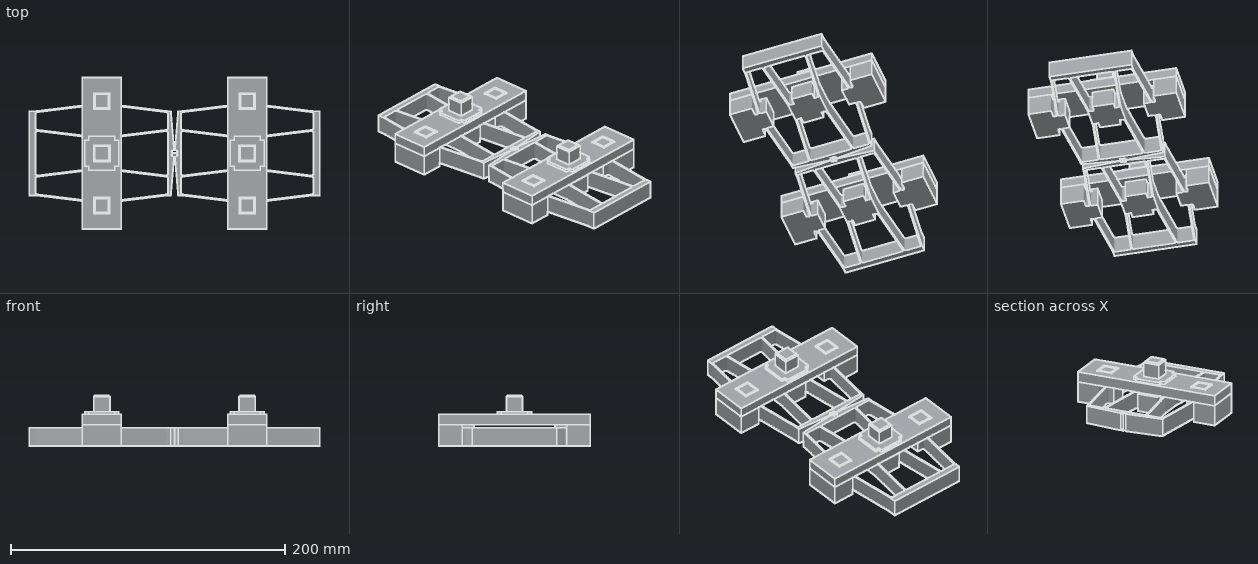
import cadquery as cq
import math

overall_length = 211.83
overall_height = 37.0

cover_width = 28.6
cover_length = 110.7
cover_bottom = 15.5
cover_top = 23.3

knob_side = 12.0
flange_span = 25.0
flange_notch = 3.0
flange_corner_radius = 0.3
flange_height = 1.9
top_chamfer = 1.0

peg_side = 11.8
peg_offset = 38.0

flexure_height = 13.5
module_offset = 53.0
truss_inner_face = 48.2
truss_half_length = 30.8
truss_gap_angle = 4.8

anchor_inner_face = 38.2
arm_half_width = 7.4
arm_inner_face = 29.4
block_edge_radius = 0.5

shuttle_core_half_width = 12.3
shuttle_core_half_length = 7.9

beam_thickness = 0.9
beam_angle = 7.0
inner_beam_at_truss = 16.8
root_fillet = 1.3
flush_root_length = 1.9

hinge_slot_length = 4.2
hinge_slot_width = 1.7
hinge_web = 0.8

truss_outer_face = overall_length / 2 - module_offset
beam_slope = math.tan(math.radians(beam_angle))

flush_root_rise = flush_root_length * math.tan(math.radians(beam_angle / 2))
flush_root_drop = flush_root_length * beam_slope - flush_root_rise
beam_rise = (truss_inner_face - arm_half_width) * beam_slope
outer_beam_at_truss = truss_half_length - flush_root_drop - beam_thickness / 2
outer_beam_at_anchor = outer_beam_at_truss + beam_rise
inner_beam_at_shuttle = inner_beam_at_truss - beam_rise
shuttle_bar_half_length = inner_beam_at_shuttle + beam_thickness / 2 + flush_root_drop

SIDES = (-1, 1)


def box(x_min, x_max, y_min, y_max, z_min, z_max):
    size = (x_max - x_min, y_max - y_min, z_max - z_min)
    return cq.Workplane("XY").box(*size, centered=False).translate((x_min, y_min, z_min))


def chamfered_post(side, y, z_min, z_max):
    """Square post with its top edges chamfered."""
    post = cq.Workplane("XY").box(side, side, z_max - z_min, centered=(True, True, False))
    return post.faces(">Z").chamfer(top_chamfer).translate((0, y, z_min))


def pegs():
    lower, upper = (chamfered_post(peg_side, side * peg_offset, cover_bottom, cover_top) for side in SIDES)
    return lower.union(upper)


def flange_bar(x_size, y_size, tips):
    """One of the two crossing bars of the flange, with rounded corners at its tips."""
    bar = cq.Workplane("XY").box(x_size, y_size, flange_height, centered=(True, True, False))
    return bar.faces(tips).edges("|Z").fillet(flange_corner_radius).translate((0, 0, cover_top))


def make_cover(x):
    half_width = cover_width / 2
    half_length = cover_length / 2
    plate = box(-half_width, half_width, -half_length, half_length, cover_bottom, cover_top)
    for side in SIDES:
        hole_middle = side * peg_offset
        hole_edges = (hole_middle - peg_side / 2, hole_middle + peg_side / 2)
        plate = plate.cut(box(-peg_side / 2, peg_side / 2, *hole_edges, cover_bottom, cover_top))

    knob_base = cover_top + flange_height
    arm_width = flange_span - 2 * flange_notch
    bar_x = flange_bar(flange_span, arm_width, "<X or >X")
    bar_y = flange_bar(arm_width, flange_span, "<Y or >Y")
    flange = bar_x.union(bar_y)

    knob = chamfered_post(knob_side, 0, knob_base, overall_height)
    return plate.union(flange).union(knob).translate((x, 0, 0))


def upright_edges_at(half_width, y):
    """Selector for the upright edges that lie at y, within half_width of the centre plane."""
    reach = 0.1
    return cq.selectors.BoxSelector(
        (-half_width - reach, y - reach, 0), (half_width + reach, y + reach, cover_bottom)
    )


def make_anchor():
    half_width = cover_width / 2
    anchor = box(-half_width, half_width, anchor_inner_face, cover_length / 2, 0, cover_bottom)
    anchor = anchor.edges("|Z and <Y").fillet(block_edge_radius)
    arm = box(-arm_half_width, arm_half_width, arm_inner_face, anchor_inner_face, 0, cover_bottom)
    arm_corners = upright_edges_at(arm_half_width, anchor_inner_face)
    return anchor.union(arm).edges("|Z").edges(arm_corners).fillet(root_fillet)


def make_shuttle():
    core = box(
        -shuttle_core_half_width, shuttle_core_half_width,
        -shuttle_core_half_length, shuttle_core_half_length,
        0, flexure_height,
    ).edges("|Z").fillet(block_edge_radius)
    bar = box(
        -arm_half_width, arm_half_width,
        -shuttle_bar_half_length, shuttle_bar_half_length,
        0, flexure_height,
    )
    return core.union(bar)


def root_gusset(x, y, x_direction, climb, side):
    """Fillet in the corner between an upright face at x and one side of a beam.

    The beam leaves the face at y towards x_direction, climbing (1) or falling (-1) in Y.
    """
    tilt = math.radians(beam_angle)
    corner_angle = math.pi / 2 - side * climb * tilt
    tangent_length = root_fillet / math.tan(corner_angle / 2)
    arc_distance = root_fillet / math.sin(corner_angle / 2) - root_fillet
    middle_x = arc_distance * math.sin(corner_angle / 2)
    middle_y = arc_distance * math.cos(corner_angle / 2)
    return (
        cq.Workplane("XY")
        .moveTo(x, y)
        .lineTo(x, y + side * tangent_length)
        .threePointArc(
            (x + x_direction * middle_x, y + side * middle_y),
            (x + x_direction * tangent_length * math.cos(tilt), y + climb * tangent_length * math.sin(tilt)),
        )
        .close()
        .extrude(flexure_height)
    )


def flush_root(face_x, end_y, x_direction):
    """Curved blend from a flat block end at end_y to the sloping side of a beam."""
    inner_edge = end_y - beam_thickness / 2
    inside_block = face_x - x_direction * flush_root_length
    beam_x = face_x + x_direction * flush_root_length
    return (
        cq.Workplane("XY")
        .moveTo(inside_block, end_y)
        .lineTo(face_x, end_y)
        .tangentArcPoint((x_direction * flush_root_length, flush_root_rise))
        .lineTo(beam_x, inner_edge)
        .lineTo(inside_block, inner_edge)
        .close()
        .extrude(flexure_height)
    )


def straight_leaf(y_at_truss, y_at_block):
    """Thin leaf from the truss face to the block under the cover."""
    half = beam_thickness / 2
    return (
        cq.Workplane("XY")
        .moveTo(truss_inner_face, y_at_truss - half)
        .lineTo(truss_inner_face, y_at_truss + half)
        .lineTo(arm_half_width, y_at_block + half)
        .lineTo(arm_half_width, y_at_block - half)
        .close()
        .extrude(flexure_height)
    )


def make_outer_beam():
    """Leaf from the truss end to an anchor arm."""
    half = beam_thickness / 2
    beam = straight_leaf(outer_beam_at_truss, outer_beam_at_anchor)
    beam = beam.union(flush_root(truss_inner_face, truss_half_length, -1))
    beam = beam.union(root_gusset(truss_inner_face, outer_beam_at_truss - half, -1, 1, -1))
    for side in SIDES:
        beam = beam.union(root_gusset(arm_half_width, outer_beam_at_anchor + side * half, 1, -1, side))
    return beam


def make_inner_beam():
    """Leaf from the truss to the end of the shuttle bar."""
    half = beam_thickness / 2
    beam = straight_leaf(inner_beam_at_truss, inner_beam_at_shuttle)
    beam = beam.union(flush_root(arm_half_width, shuttle_bar_half_length, 1))
    beam = beam.union(root_gusset(arm_half_width, inner_beam_at_shuttle - half, 1, 1, -1))
    for side in SIDES:
        beam = beam.union(root_gusset(truss_inner_face, inner_beam_at_truss + side * half, -1, -1, side))
    return beam


def make_truss(sign, hinge_side):
    """Bar across the beam ends; next to the hinge its outer face leans back from the middle."""
    if not hinge_side:
        x_min, x_max = sorted((sign * truss_inner_face, sign * truss_outer_face))
        return box(x_min, x_max, -truss_half_length, truss_half_length, 0, flexure_height)
    tip = module_offset - truss_half_length * math.tan(math.radians(truss_gap_angle))
    return (
        cq.Workplane("XY")
        .polyline([
            (sign * truss_inner_face, -truss_half_length),
            (sign * tip, -truss_half_length),
            (sign * module_offset, 0),
            (sign * tip, truss_half_length),
            (sign * truss_inner_face, truss_half_length),
        ])
        .close()
        .extrude(flexure_height)
    )


def make_module(sign):
    """One flexure stage around its own centre; sign is the side on which its hinge lies."""
    module = make_shuttle().union(make_truss(sign, True)).union(make_truss(-sign, False))
    module = module.union(make_anchor()).union(make_anchor().mirror("XZ")).union(pegs())
    for beam in (make_outer_beam(), make_inner_beam()):
        pair = beam.union(beam.mirror("YZ"))
        module = module.union(pair).union(pair.mirror("XZ"))
    return module.translate((-sign * module_offset, 0, 0))


def make_base():
    base = make_module(1).union(make_module(-1))
    slot_offset = (hinge_web + hinge_slot_width) / 2
    half_length = hinge_slot_length / 2
    web = box(-half_length, half_length, -slot_offset, slot_offset, 0, flexure_height)
    slots = (
        cq.Workplane("XY")
        .pushPoints([(0, side * slot_offset) for side in SIDES])
        .slot2D(hinge_slot_length, hinge_slot_width)
        .extrude(flexure_height)
    )
    return base.union(web).cut(slots)


base = make_base()
covers = [make_cover(side * module_offset) for side in SIDES]
result = cq.Compound.makeCompound([base.val(), *[cover.val() for cover in covers]])